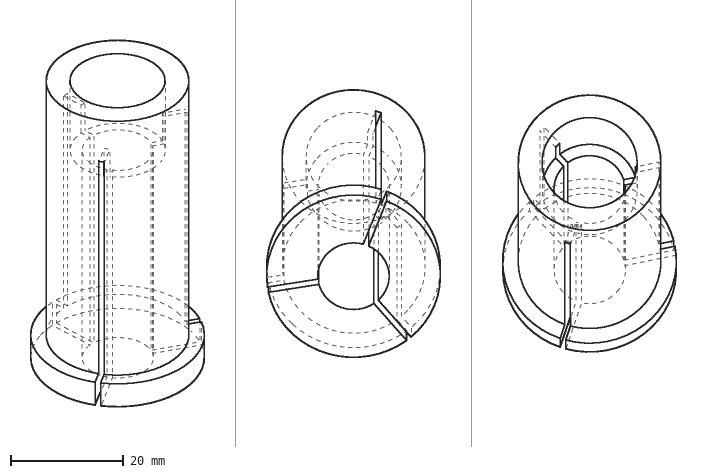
import cadquery as cq

total_height = 60.0
flange_diameter = 31.0
flange_height = 5.0
body_diameter = 25.5

wide_bore_diameter = 17.0
narrow_bore_diameter = 12.7
wide_bore_depth = 15.0

slot_count = 3
slot_width = 1.0
slot_height = 51.0
first_slot_angle = 90.0


def cylinder(diameter, height, base_height=0.0):
    """Upright cylinder on the Z axis."""
    return cq.Workplane("XY").workplane(offset=base_height).circle(diameter / 2).extrude(height)


def radial_slot(angle):
    """Cutter running from the axis out past the flange, open at the bottom."""
    slot = cq.Workplane("XY").box(
        flange_diameter, slot_width, slot_height, centered=(False, True, False)
    )
    return slot.rotate((0, 0, 0), (0, 0, 1), angle)


result = cylinder(flange_diameter, flange_height).union(cylinder(body_diameter, total_height))

result = result.cut(cylinder(narrow_bore_diameter, total_height))
narrow_bore_height = total_height - wide_bore_depth
result = result.cut(cylinder(wide_bore_diameter, wide_bore_depth, narrow_bore_height))

for index in range(slot_count):
    result = result.cut(radial_slot(first_slot_angle + index * 360 / slot_count))